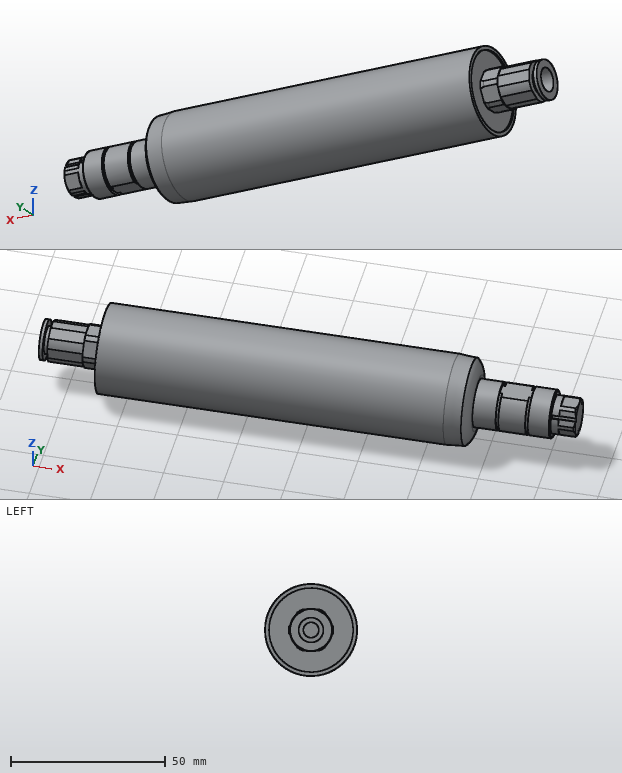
import cadquery as cq
import math

TOTAL_LENGTH = 178.3

inlet_flange_dia = 13.5
inlet_flange_end = 1.2
inlet_groove_dia = 9.3
inlet_groove_end = 2.9
sleeve_dia = 13.9
inlet_across_flats = 13.4
sleeve_end = 14.6
nut_corner_dia = 14.5
nut_taper_start = 19.8
nut_taper_end_dia = 14.0
bore_dia = 8.0
bore_depth = sleeve_end
inner_bore_dia = 5.0

body_dia = 30.0
body_start = 20.5
body_end = 136.4
end_recess_dia = 27.3
end_recess_depth = 0.5

nose_taper_end = 142.3
nose_end = 144.6
nose_taper_dia = 29.0
nose_face_dia = 18.5

shaft_dia = 16.0
shaft_end = 170.3
shaft_chamfer = 0.4
groove_dia = 14.6
groove_width = 0.9
groove_starts = (152.3, 162.0)
wrench_across_flats = 14.0

hub_dia = 12.8
hub_end = 172.8
tip_across_flats = 11.8
tip_chamfer = 0.5
slot_width = 1.0
slot_floor_dia = 10.0
slot_count = 3

HEX_SIDES = 6


def cylinder(start, end, diameter):
    """Solid cylinder on the X axis between two X positions."""
    return cq.Workplane("YZ", origin=(start, 0, 0)).circle(diameter / 2).extrude(end - start)


def hex_prism(start, end, across_flats, first_normal):
    """Hexagonal prism on the X axis; first_normal is a flat's angle in degrees from +Y."""
    corner_dia = across_flats / math.cos(math.pi / HEX_SIDES)
    prism = cq.Workplane("YZ", origin=(start, 0, 0)).polygon(HEX_SIDES, corner_dia).extrude(end - start)
    half_step = 180 / HEX_SIDES
    return prism.rotate((0, 0, 0), (1, 0, 0), first_normal - half_step)


def inlet_fitting():
    """Flanged and grooved inlet with a flatted sleeve and a round-cornered hex nut."""
    flange = cylinder(0, inlet_flange_end, inlet_flange_dia)
    groove = cylinder(inlet_flange_end, inlet_groove_end, inlet_groove_dia)
    sleeve = cylinder(inlet_groove_end, sleeve_end, sleeve_dia).intersect(
        hex_prism(inlet_groove_end, sleeve_end, inlet_across_flats, 0)
    )
    nut_end = body_start + end_recess_depth
    nut_profile = [
        (sleeve_end, 0),
        (sleeve_end, nut_corner_dia / 2),
        (nut_taper_start, nut_corner_dia / 2),
        (nut_end, nut_taper_end_dia / 2),
        (nut_end, 0),
    ]
    nut = cq.Workplane("XY").polyline(nut_profile).close().revolve(360, (0, 0, 0), (1, 0, 0))
    nut = nut.intersect(hex_prism(sleeve_end, nut_end, inlet_across_flats, 90))
    return flange.union(groove).union(sleeve).union(nut)


def main_body():
    """Cylindrical body with a slightly tapered, rounded nose and a shallow recess in its -X face."""
    arc_length = nose_end - nose_taper_end
    arc_rise = (nose_taper_dia - nose_face_dia) / 2
    arc_radius = (arc_length**2 + arc_rise**2) / (2 * arc_length)
    middle_angle = math.asin(arc_rise / arc_radius) / 2
    arc_middle = (
        nose_end - arc_radius * (1 - math.cos(middle_angle)),
        nose_face_dia / 2 + arc_radius * math.sin(middle_angle),
    )
    body = (
        cq.Workplane("XY")
        .moveTo(body_start, 0)
        .lineTo(body_start, body_dia / 2)
        .lineTo(body_end, body_dia / 2)
        .lineTo(nose_taper_end, nose_taper_dia / 2)
        .threePointArc(arc_middle, (nose_end, nose_face_dia / 2))
        .lineTo(nose_end, 0)
        .close()
        .revolve(360, (0, 0, 0), (1, 0, 0))
    )
    return body.cut(cylinder(body_start, body_start + end_recess_depth, end_recess_dia))


def shaft():
    """Shaft with two grooves and a pair of wrench flats facing +Z and -Z between them."""
    bar = cylinder(nose_end, shaft_end, shaft_dia).faces(">X").chamfer(shaft_chamfer)
    for start in groove_starts:
        end = start + groove_width
        bar = bar.cut(cylinder(start, end, shaft_dia).cut(cylinder(start, end, groove_dia)))
    flats_start = groove_starts[0]
    flats_length = groove_starts[1] + groove_width - flats_start
    for side in (1, -1):
        waste = cq.Workplane("XY").box(flats_length, shaft_dia, shaft_dia, centered=(False, True, True))
        bar = bar.cut(waste.translate((flats_start, 0, side * (wrench_across_flats + shaft_dia) / 2)))
    return bar


def slotted_tip():
    """Round hub and round-cornered hex, with axial slots in every other flat."""
    hub = cylinder(shaft_end, hub_end, hub_dia)
    envelope = cylinder(hub_end, TOTAL_LENGTH, hub_dia).faces(">X").chamfer(tip_chamfer)
    tip = hub.union(envelope.intersect(hex_prism(hub_end, TOTAL_LENGTH, tip_across_flats, 90)))
    slot = (
        cq.Workplane("XY")
        .box(TOTAL_LENGTH - shaft_end, slot_width, hub_dia, centered=(False, True, False))
        .translate((shaft_end, 0, slot_floor_dia / 2))
    )
    for index in range(slot_count):
        angle = 180 + index * 360 / slot_count
        tip = tip.cut(slot.rotate((0, 0, 0), (1, 0, 0), angle))
    return tip


result = inlet_fitting().union(main_body()).union(shaft()).union(slotted_tip())

result = result.cut(cylinder(0, bore_depth, bore_dia))
result = result.cut(cylinder(bore_depth, body_start, inner_bore_dia))